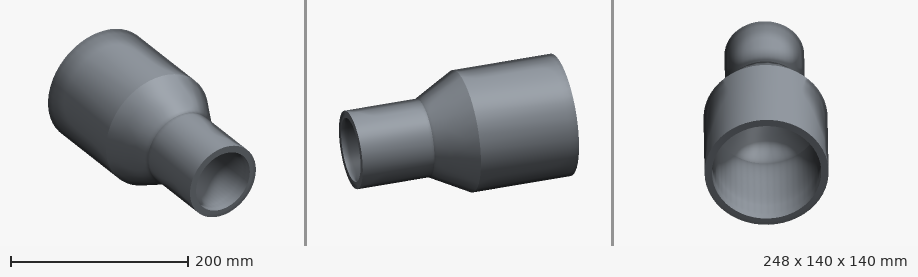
import cadquery as cq

total_length = 248.0
wide_length = 116.0
cone_length = 47.0
wide_outer_diameter = 140.0
wide_bore_diameter = 123.5
narrow_outer_diameter = 90.0
narrow_bore_diameter = 73.5

cone_end = wide_length + cone_length


def stepped_cone(wide_diameter, narrow_diameter):
    """Solid of revolution about X: wide cylinder, cone, narrow cylinder."""
    wide_radius = wide_diameter / 2
    narrow_radius = narrow_diameter / 2
    return (
        cq.Workplane("XY")
        .moveTo(0, 0)
        .lineTo(0, wide_radius)
        .lineTo(wide_length, wide_radius)
        .lineTo(cone_end, narrow_radius)
        .lineTo(total_length, narrow_radius)
        .lineTo(total_length, 0)
        .close()
        .revolve(360, (0, 0, 0), (1, 0, 0))
    )


outer_body = stepped_cone(wide_outer_diameter, narrow_outer_diameter)
bore = stepped_cone(wide_bore_diameter, narrow_bore_diameter)
result = outer_body.cut(bore)